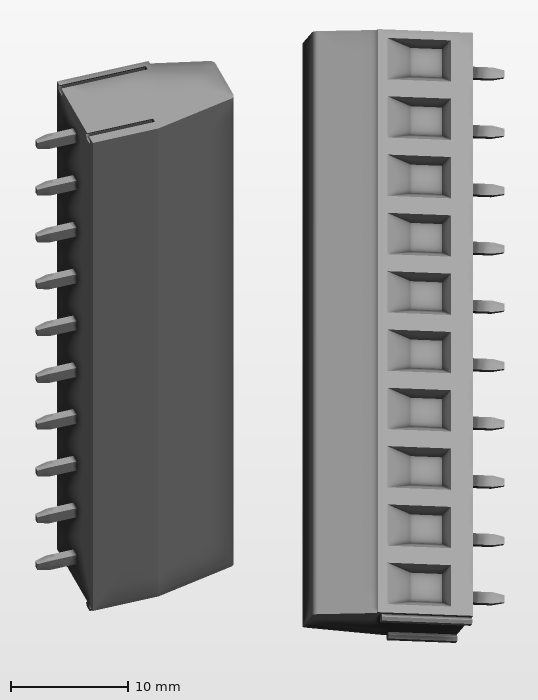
import cadquery as cq

pole_count = 10
pole_pitch = 5.08
body_height = pole_count * pole_pitch

body_width = 9.0
body_depth = 13.5
entry_face_depth = 8.3
entry_ledge = 0.35
back_face_depth = 5.95
crown_left = 1.85
crown_right = 7.15
crown_radius = 0.5

funnel_center_y = 4.7
funnel_mouth_length = 5.5
funnel_mouth_height = 3.6
funnel_floor_center_y = 3.85
funnel_floor_length = 2.7
funnel_floor_height = 2.45
funnel_depth = 1.05

pin_width = 0.8
pin_height = 1.0
pin_length = 3.5
pin_tip_length = 1.05
pin_tip_width = 0.5
pin_tip_height = 0.6
pin_x = body_width / 2

interlocks = [(0.8, 7.8), (7.8, 5.95)]
interlock_height = 0.6
interlock_neck_width = 0.4
interlock_widest = 1.05
interlock_end_width = 0.7
groove_clearance = 0.05


def make_housing():
    outline = (
        cq.Workplane("XY")
        .moveTo(0, 0)
        .lineTo(body_width, 0)
        .lineTo(body_width, back_face_depth)
        .lineTo(crown_right, body_depth)
        .lineTo(crown_left, body_depth)
        .lineTo(entry_ledge, entry_face_depth)
        .lineTo(0, entry_face_depth)
        .close()
    )
    housing = outline.extrude(body_height)
    crown_edges = housing.faces(">Y").edges("|Z")
    return crown_edges.fillet(crown_radius)


def make_interlock(center_x, length, root_z, clearance=0):
    """Bar along Y that hangs below root_z and is widest at half its height."""
    height = interlock_height + clearance
    half_neck = (interlock_neck_width + clearance) / 2
    half_widest = (interlock_widest + clearance) / 2
    half_end = (interlock_end_width + clearance) / 2
    middle_z = root_z - height / 2
    end_z = root_z - height
    outline = [
        (center_x - half_neck, root_z),
        (center_x - half_widest, middle_z),
        (center_x - half_end, end_z),
        (center_x + half_end, end_z),
        (center_x + half_widest, middle_z),
        (center_x + half_neck, root_z),
    ]
    return cq.Workplane("XZ").polyline(outline).close().extrude(-length)


def make_funnel(center_z):
    """Tapered wire entry, from its mouth on the -X face to its flat floor."""
    return (
        cq.Workplane("YZ", origin=(0, funnel_center_y, center_z))
        .rect(funnel_mouth_length, funnel_mouth_height)
        .workplane(offset=funnel_depth)
        .center(funnel_floor_center_y - funnel_center_y, 0)
        .rect(funnel_floor_length, funnel_floor_height)
        .loft(ruled=True)
    )


def make_pin(center_z):
    """Rectangular pin on the Y = 0 face, tapered at its free end."""
    shank = (
        cq.Workplane("XZ", origin=(pin_x, 0, center_z))
        .rect(pin_width, pin_height)
        .extrude(pin_length - pin_tip_length)
    )
    tip = (
        shank.faces("<Y")
        .workplane()
        .rect(pin_width, pin_height)
        .workplane(offset=pin_tip_length)
        .rect(pin_tip_width, pin_tip_height)
        .loft(ruled=True, combine=False)
    )
    return shank.union(tip)


result = make_housing()

for interlock_x, interlock_length in interlocks:
    groove = make_interlock(interlock_x, interlock_length, body_height, groove_clearance)
    rib = make_interlock(interlock_x, interlock_length, 0)
    result = result.cut(groove).union(rib)

for pole in range(pole_count):
    pole_z = (pole + 0.5) * pole_pitch
    result = result.cut(make_funnel(pole_z))
    result = result.union(make_pin(pole_z))